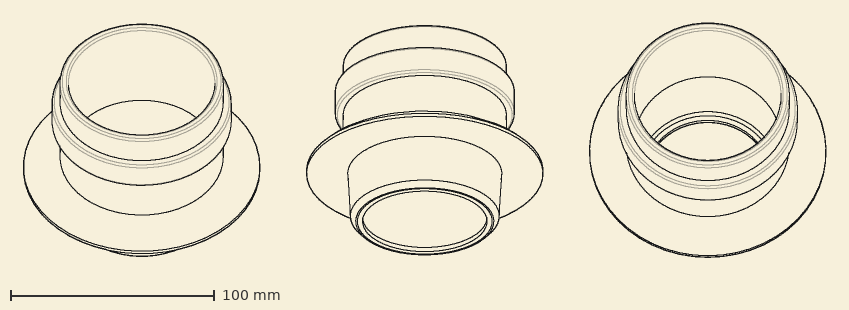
import cadquery as cq

FLANGE_RADIUS = 58.0
TOTAL_HEIGHT = 88.0
EDGE_ROUND = 1.0

TUBE_RADIUS = 40.0
BORE_RADIUS = 36.0
SOCKET_TOP = 38.0

COLLAR_RADIUS = 44.0
COLLAR_BOTTOM = 59.6
COLLAR_TOP = 73.5

FLANGE_BOTTOM = 26.7
FLANGE_TOP = 35.4
RIM_HEIGHT = 1.7
DOME_END_SLOPE = -1.2

NECK_RADIUS = 37.8
SPIGOT_END_RADIUS = 36.5
SPIGOT_TIP_RADIUS = 33.9
OUTER_CHAMFER_HEIGHT = 2.9
INNER_END_RADIUS = 34.5
INNER_CHAMFER_HEIGHT = 1.7
WALL_BOW = 0.1

TIP_RING_OUTER_RADIUS = 33.1
TIP_RING_INNER_RADIUS = 30.5
TIP_RING_HEIGHT = 2.3


def cylinder(radius, bottom, top):
    return cq.Workplane("XY").workplane(offset=bottom).circle(radius).extrude(top - bottom)


def revolve_about_z(profile):
    return profile.close().revolve(360, (0, 0, 0), (0, 1, 0))


def bowed_middle(start, end):
    """Middle point of a wall that bows toward the axis."""
    return ((start[0] + end[0]) / 2 - WALL_BOW, (start[1] + end[1]) / 2)


def make_tube():
    tube = cylinder(TUBE_RADIUS, FLANGE_TOP, TOTAL_HEIGHT)
    tube = tube.cut(cylinder(BORE_RADIUS, FLANGE_TOP, TOTAL_HEIGHT))
    tube = tube.faces(">Z").edges().fillet(EDGE_ROUND)
    return tube.cut(cylinder(NECK_RADIUS, FLANGE_TOP, SOCKET_TOP))


def make_collar():
    collar = cylinder(COLLAR_RADIUS, COLLAR_BOTTOM, COLLAR_TOP).edges().fillet(EDGE_ROUND)
    return collar.cut(cylinder(TUBE_RADIUS, COLLAR_BOTTOM, COLLAR_TOP))


def make_flange():
    rim_top = FLANGE_BOTTOM + RIM_HEIGHT
    profile = (
        cq.Workplane("XZ")
        .moveTo(NECK_RADIUS, FLANGE_BOTTOM)
        .lineTo(NECK_RADIUS, FLANGE_TOP)
        .lineTo(TUBE_RADIUS, FLANGE_TOP)
        .spline(
            [(FLANGE_RADIUS, rim_top)],
            tangents=[(1, 0), (1, DOME_END_SLOPE)],
            includeCurrent=True,
        )
        .lineTo(FLANGE_RADIUS, FLANGE_BOTTOM)
    )
    return revolve_about_z(profile)


def make_spigot():
    outer_top = (NECK_RADIUS, FLANGE_BOTTOM)
    outer_end = (SPIGOT_END_RADIUS, OUTER_CHAMFER_HEIGHT)
    inner_end = (INNER_END_RADIUS, TIP_RING_HEIGHT + INNER_CHAMFER_HEIGHT)
    inner_top = (BORE_RADIUS, SOCKET_TOP)
    profile = (
        cq.Workplane("XZ")
        .moveTo(NECK_RADIUS, SOCKET_TOP)
        .lineTo(*outer_top)
        .threePointArc(bowed_middle(outer_top, outer_end), outer_end)
        .lineTo(SPIGOT_TIP_RADIUS, 0)
        .lineTo(TIP_RING_OUTER_RADIUS, 0)
        .lineTo(TIP_RING_OUTER_RADIUS, TIP_RING_HEIGHT)
        .lineTo(*inner_end)
        .threePointArc(bowed_middle(inner_end, inner_top), inner_top)
    )
    return revolve_about_z(profile)


def make_tip_ring():
    ring = cylinder(TIP_RING_OUTER_RADIUS, 0, TIP_RING_HEIGHT)
    return ring.cut(cylinder(TIP_RING_INNER_RADIUS, 0, TIP_RING_HEIGHT))


tube = make_tube()
collar = make_collar()
flange = make_flange()
spigot = make_spigot()
tip_ring = make_tip_ring()

result = cq.Compound.makeCompound(
    [tube.val(), collar.val(), flange.val(), spigot.val(), tip_ring.val()]
)